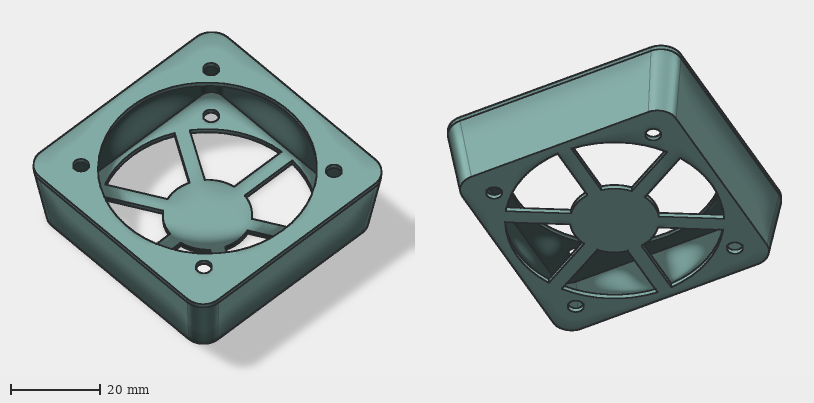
import cadquery as cq

top_side = 58.0
bottom_side = 53.7
total_height = 17.9
lid_thickness = 1.2
corner_radius = 5.0

wall = 1.2
floor_thickness = 1.2
tray_height = total_height - lid_thickness
taper_per_height = (top_side - bottom_side) / tray_height

opening_diameter = 49.0
hub_diameter = 20.0
spoke_width = 3.5
spoke_count = 6

screw_hole_diameter = 3.6
screw_hole_pitch = 40.0


def rounded_square(side, radius, z):
    """Rounded square outline, centred on the Z axis at height z."""
    return cq.Sketch().rect(side, side).vertices().fillet(radius).moved(cq.Location(cq.Vector(0, 0, z)))


def tapered_block(low_side, high_side, high_radius, low_z, high_z):
    """Solid between two rounded squares; the low one is a scaled copy of the high one."""
    low_radius = high_radius * low_side / high_side
    low = rounded_square(low_side, low_radius, low_z)
    high = rounded_square(high_side, high_radius, high_z)
    return cq.Workplane("XY").placeSketch(low, high).loft()


def screw_holes():
    """Four cutters that pass through the full height."""
    return (
        cq.Workplane("XY")
        .rect(screw_hole_pitch, screw_hole_pitch, forConstruction=True)
        .vertices()
        .circle(screw_hole_diameter / 2)
        .extrude(total_height)
    )


def guard_openings():
    """Floor cutter: the round opening less the hub and its spokes."""
    cutter = cq.Workplane("XY").circle(opening_diameter / 2).extrude(floor_thickness)
    hub = cq.Workplane("XY").circle(hub_diameter / 2).extrude(floor_thickness)
    cutter = cutter.cut(hub)
    for index in range(spoke_count // 2):
        bar = (
            cq.Workplane("XY")
            .rect(spoke_width, top_side)
            .extrude(floor_thickness)
            .rotate((0, 0, 0), (0, 0, 1), index * 360 / spoke_count)
        )
        cutter = cutter.cut(bar)
    return cutter


def make_tray():
    """Tapered open tray with a spoked guard in its floor."""
    outside = tapered_block(bottom_side, top_side, corner_radius, 0, tray_height)
    cavity_low_side = bottom_side + taper_per_height * floor_thickness - 2 * wall
    cavity = tapered_block(
        cavity_low_side, top_side - 2 * wall, corner_radius - wall, floor_thickness, tray_height
    )
    return outside.cut(cavity).cut(guard_openings()).cut(screw_holes())


def make_lid():
    """Flat lid resting on the tray rim, with the round opening."""
    plate = (
        cq.Workplane("XY", origin=(0, 0, tray_height))
        .rect(top_side, top_side)
        .extrude(lid_thickness)
        .edges("|Z")
        .fillet(corner_radius)
    )
    opening = cq.Workplane("XY").circle(opening_diameter / 2).extrude(total_height)
    return plate.cut(opening).cut(screw_holes())


tray = make_tray()
lid = make_lid()
result = cq.Compound.makeCompound([tray.val(), lid.val()])